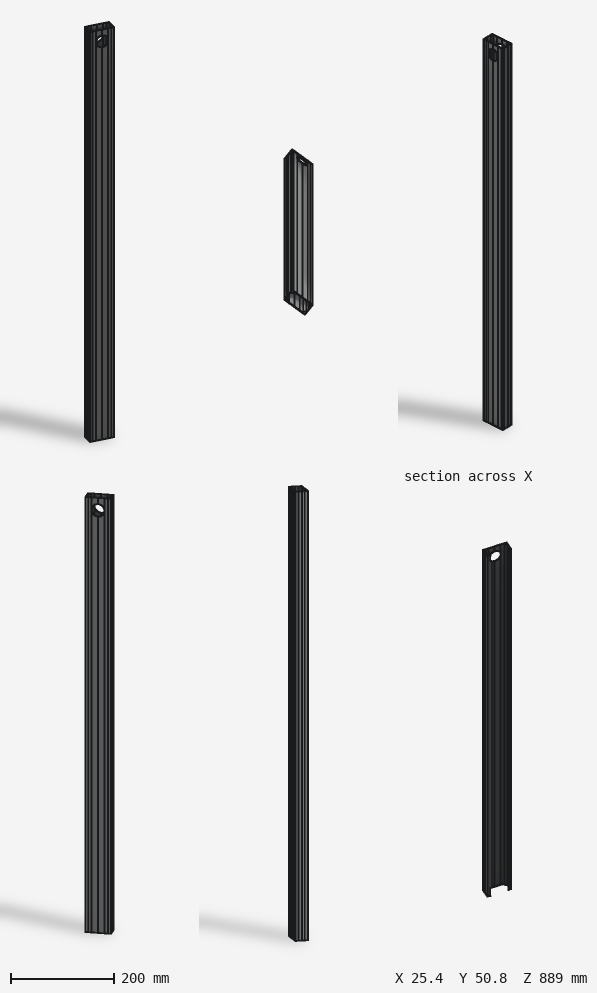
import cadquery as cq

length = 889.0
module = length / 35
width = module
depth = 2 * module

wall = 1.3

screw_diameter = 5.0
boss_diameter = 7.0
screw_inset_x = 3.1
screw_inset_y = 3.0

groove_width = 1.0
groove_depth = 0.45
groove_spacing = module / 2

opening_diameter = module
opening_below_top = module


def corner_cylinders(diameter):
    """Full-length cylinders on the four screw channel axes."""
    return (
        cq.Workplane("XY")
        .rect(width - 2 * screw_inset_x, depth - 2 * screw_inset_y, forConstruction=True)
        .vertices()
        .circle(diameter / 2)
        .extrude(length)
    )


def make_tube():
    """Rectangular tube whose core leaves a bored round boss in each corner."""
    core = cq.Workplane("XY").rect(width - 2 * wall, depth - 2 * wall).extrude(length)
    core = core.cut(corner_cylinders(boss_diameter))
    outside = cq.Workplane("XY").rect(width, depth).extrude(length)
    return outside.cut(core).cut(corner_cylinders(screw_diameter))


def make_opening():
    """Cylinder along X that passes through both broad faces."""
    return (
        cq.Workplane("YZ", origin=(-width / 2, 0, length - opening_below_top))
        .circle(opening_diameter / 2)
        .extrude(width)
    )


def make_groove(face_distance, offset, angle):
    """V groove in the face lying face_distance from the axis, at angle degrees from +X."""
    groove = (
        cq.Workplane("XY")
        .moveTo(face_distance - groove_depth, offset)
        .lineTo(face_distance, offset + groove_width / 2)
        .lineTo(face_distance, offset - groove_width / 2)
        .close()
        .extrude(length)
    )
    return groove.rotate((0, 0, 0), (0, 0, 1), angle)


result = make_tube().cut(make_opening())

for angle in (0, 180):
    for offset in (-groove_spacing, 0, groove_spacing):
        result = result.cut(make_groove(width / 2, offset, angle))

for angle in (90, 270):
    result = result.cut(make_groove(depth / 2, 0, angle))